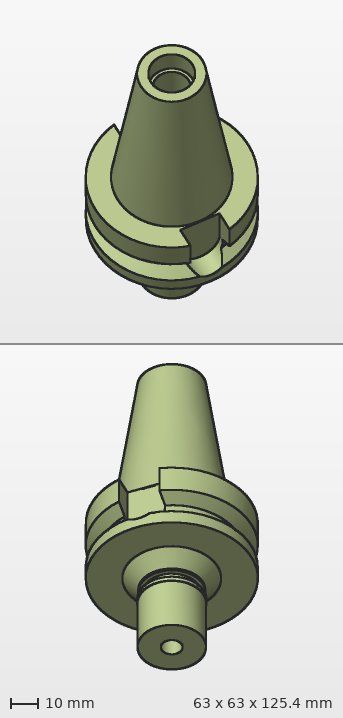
import cadquery as cq

total_height = 125.4

nut_height = 23.1
nut_radius = 12.5
nut_lip_radius = 12.7
nut_lip_height = 1.9
bore_radius = 4.0

neck_radius = 10.4
neck_top = 26.5
collar_radius = 12.3
collar_top = 27.3

flange_bottom = 33.1
flange_top = 59.5
flange_radius = 31.5
groove_radius = 26.3
groove_lower_edge = 38.5
groove_upper_edge = 48.8
groove_bevel_height = 3.0
cone_top_radius = collar_radius + (flange_bottom - collar_top)

shank_radius = 22.2
shank_land_height = 0.6
taper_bottom = flange_top + shank_land_height
taper_ratio = 7 / 24
shank_end_radius = shank_radius - (total_height - taper_bottom) * taper_ratio / 2

socket_radius = 8.5
socket_depth = 9.0
inner_socket_radius = 7.0
inner_socket_depth = 30.1

slot_half_width = 8.0
slot_floor = 22.5
slot_bottom = 37.1
slot_arc_center = slot_bottom + slot_half_width


def cylinder(radius, bottom, top):
    """Cylinder on the Z axis between two heights."""
    return cq.Workplane("XY").workplane(offset=bottom).circle(radius).extrude(top - bottom)


def holder_blank():
    """Turned outer shape of the holder, from neck to shank end."""
    profile = [
        (0, nut_height),
        (neck_radius, nut_height),
        (neck_radius, neck_top),
        (collar_radius, neck_top),
        (collar_radius, collar_top),
        (cone_top_radius, flange_bottom),
        (flange_radius, flange_bottom),
        (flange_radius, groove_lower_edge),
        (groove_radius, groove_lower_edge + groove_bevel_height),
        (groove_radius, groove_upper_edge - groove_bevel_height),
        (flange_radius, groove_upper_edge),
        (flange_radius, flange_top),
        (shank_radius, flange_top),
        (shank_radius, taper_bottom),
        (shank_end_radius, total_height),
        (0, total_height),
    ]
    return cq.Workplane("XZ").polyline(profile).close().revolve(360, (0, 0, 0), (0, 1, 0))


def drive_slot(side):
    """Round-bottomed slot cutter open at the top; side is -1 or +1 along X."""
    return (
        cq.Workplane("YZ")
        .workplane(offset=side * slot_floor)
        .moveTo(-slot_half_width, flange_top)
        .lineTo(-slot_half_width, slot_arc_center)
        .threePointArc((0, slot_bottom), (slot_half_width, slot_arc_center))
        .lineTo(slot_half_width, flange_top)
        .close()
        .extrude(side * (flange_radius - slot_floor))
    )


def make_holder():
    """Taper holder with drive slots, stepped socket and through bore."""
    holder = holder_blank()
    for side in (-1, 1):
        holder = holder.cut(drive_slot(side))
    holder = holder.cut(cylinder(socket_radius, total_height - socket_depth, total_height))
    holder = holder.cut(cylinder(inner_socket_radius, total_height - inner_socket_depth, total_height))
    return holder.cut(cylinder(bore_radius, nut_height, total_height))


def make_nut():
    """Clamping nut seated against the neck, with a slightly larger lip at its top."""
    nut = cylinder(nut_radius, 0, nut_height)
    lip = cylinder(nut_lip_radius, nut_height - nut_lip_height, nut_height)
    return nut.union(lip).cut(cylinder(bore_radius, 0, nut_height))


holder = make_holder()
nut = make_nut()
result = cq.Compound.makeCompound([holder.val(), nut.val()])